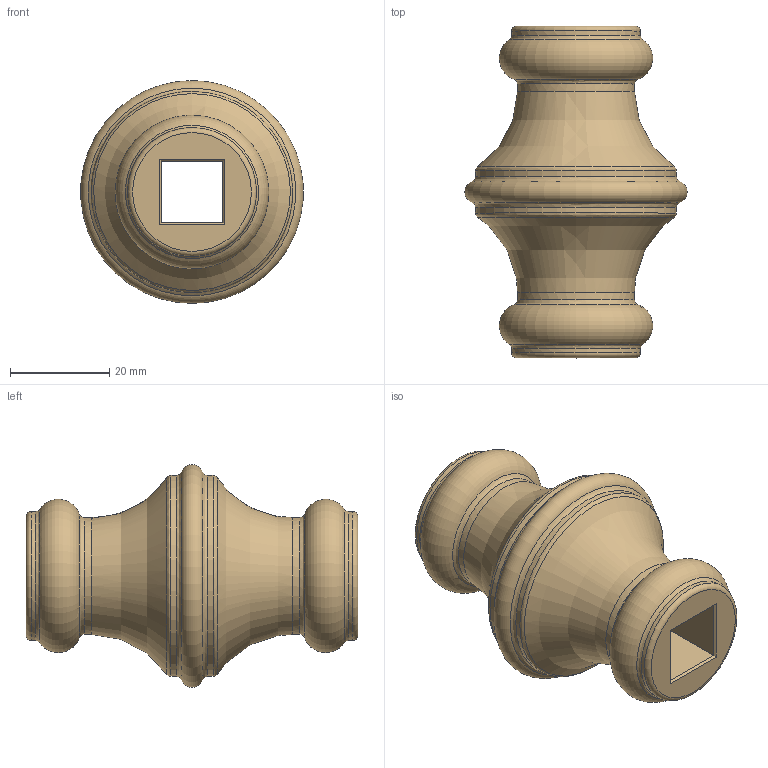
import cadquery as cq
import math

LENGTH = 67.0
HALF_LENGTH = LENGTH / 2
EDGE_FILLET = 1.0

END_RADIUS = 13.0

END_BEAD_OUTER_RADIUS = 15.5
END_BEAD_ROUND = 4.5
END_BEAD_SETBACK = 6.5

NECK_RADIUS = 11.8
NECK_FLARE_Y = 20.3

BAND_RADIUS = 20.3
BAND_HALF_WIDTH = 4.8
MIDDLE_BEAD_OUTER_RADIUS = 22.5
MIDDLE_BEAD_ROUND = 2.3

HOLE_SIDE = 12.4
HOLE_CHAMFER = 0.4

MATCH_TOLERANCE = 0.001

END_BEAD_Y = HALF_LENGTH - END_BEAD_SETBACK
END_BEAD_CENTRE_RADIUS = END_BEAD_OUTER_RADIUS - END_BEAD_ROUND
MIDDLE_BEAD_CENTRE_RADIUS = MIDDLE_BEAD_OUTER_RADIUS - MIDDLE_BEAD_ROUND


def half_chord(round_radius, height):
    """Half width of a circle cut at the given height above its centre."""
    return math.sqrt(round_radius**2 - height**2)


def flare_mid_point():
    """Middle of the flare arc, which leaves the neck tangentially."""
    run = NECK_FLARE_Y - BAND_HALF_WIDTH
    rise = BAND_RADIUS - NECK_RADIUS
    arc_radius = (run**2 + rise**2) / (2 * rise)
    half_angle = math.asin(run / arc_radius) / 2
    radius = NECK_RADIUS + arc_radius * (1 - math.cos(half_angle))
    return radius, NECK_FLARE_Y - arc_radius * math.sin(half_angle)


def corner_heights():
    """Y positions of the filleted corners on the +Y half, from the end inward."""
    return (
        HALF_LENGTH,
        END_BEAD_Y + half_chord(END_BEAD_ROUND, END_RADIUS - END_BEAD_CENTRE_RADIUS),
        END_BEAD_Y - half_chord(END_BEAD_ROUND, NECK_RADIUS - END_BEAD_CENTRE_RADIUS),
        BAND_HALF_WIDTH,
        half_chord(MIDDLE_BEAD_ROUND, BAND_RADIUS - MIDDLE_BEAD_CENTRE_RADIUS),
    )


def turned_body():
    """Revolved outline, traced from the +Y end to the -Y end, with sharp corners."""
    end_y, bead_outer_y, bead_inner_y, band_y, middle_bead_y = corner_heights()
    flare_radius, flare_y = flare_mid_point()
    return (
        cq.Workplane("YZ")
        .moveTo(end_y, 0)
        .lineTo(end_y, END_RADIUS)
        .lineTo(bead_outer_y, END_RADIUS)
        .threePointArc((END_BEAD_Y, END_BEAD_OUTER_RADIUS), (bead_inner_y, NECK_RADIUS))
        .lineTo(NECK_FLARE_Y, NECK_RADIUS)
        .threePointArc((flare_y, flare_radius), (band_y, BAND_RADIUS))
        .lineTo(middle_bead_y, BAND_RADIUS)
        .threePointArc((0, MIDDLE_BEAD_OUTER_RADIUS), (-middle_bead_y, BAND_RADIUS))
        .lineTo(-band_y, BAND_RADIUS)
        .threePointArc((-flare_y, flare_radius), (-NECK_FLARE_Y, NECK_RADIUS))
        .lineTo(-bead_inner_y, NECK_RADIUS)
        .threePointArc((-END_BEAD_Y, END_BEAD_OUTER_RADIUS), (-bead_outer_y, END_RADIUS))
        .lineTo(-end_y, END_RADIUS)
        .lineTo(-end_y, 0)
        .close()
        .revolve(360, (0, 0, 0), (1, 0, 0))
    )


def fillet_corners(body):
    """Round the circular corners of the turned body on both halves."""

    def is_corner(edge):
        height = abs(edge.Center().y)
        return edge.IsClosed() and any(abs(height - y) < MATCH_TOLERANCE for y in corner_heights())

    return body.edges("%CIRCLE").filter(is_corner).fillet(EDGE_FILLET)


def square_hole():
    """Cutter for the through hole, widened at both ends by the mouth chamfers."""
    mouth_side = HOLE_SIDE + 2 * HOLE_CHAMFER
    cutter = cq.Workplane("XY").box(HOLE_SIDE, LENGTH, HOLE_SIDE)
    mouth = (
        cq.Workplane("XZ", origin=(0, -HALF_LENGTH, 0))
        .rect(mouth_side, mouth_side)
        .workplane(offset=-HOLE_CHAMFER)
        .rect(HOLE_SIDE, HOLE_SIDE)
        .loft(ruled=True)
    )
    return cutter.union(mouth).union(mouth.mirror("XZ"))


result = fillet_corners(turned_body()).cut(square_hole())